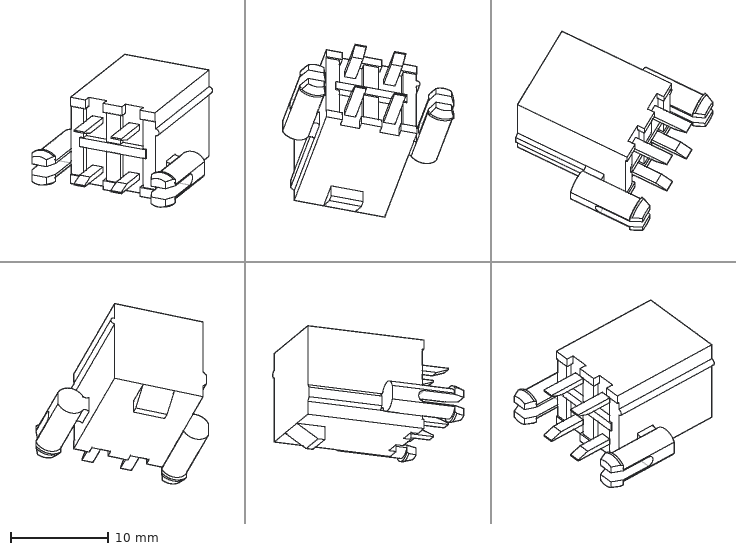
import cadquery as cq


BODY_WIDTH = 9.63
BODY_DEPTH = 12.8
BODY_HEIGHT = 9.6
HALF_WIDTH = BODY_WIDTH / 2

PAD_HEIGHT = 1.0
FACE_RECESS = 0.18
PITCH_X = 4.19
COLUMNS = (-PITCH_X / 2, PITCH_X / 2)
CHANNEL_DEPTH = 0.8
CHANNEL_WIDTH = 2.59
NOTCH_WIDTH = 2.03
BAR_WIDTH = 7.56
BAR_BOTTOM = 4.3
BAR_HEIGHT = 1.0

PIN_WIDTH = 1.2
PIN_THICKNESS = 0.62
PIN_TIP_THICKNESS = 0.15
PIN_TIP_Y = -3.5
PIN_TAPER_Y = -2.2
UPPER_PIN_TOP = 7.63
LOWER_PIN_BOTTOM = 1.53

LATCH_WIDTH = 3.4
LATCH_DROP = 1.4
LATCH_LENGTH = 3.07
LATCH_SLOPE_LENGTH = 2.33

PEG_Z = 2.3
PEG_AXIS_X = 6.79
PEG_OUTER_X = 8.19
PEG_INNER_X = 5.48
PEG_BACK_Y = 4.8
STEM_RADIUS = 1.58
HEAD_RADIUS = 1.89
HEAD_START_Y = -2.1
CONE_START_Y = -2.35
PEG_TIP_Y = -3.3
TIP_RADIUS = 1.58
TIP_HALF_WIDTH = 0.82
SLOT_WIDTH = 1.2
SLOT_END_Y = 1.9

NECK_FRONT_Y = 2.7
NECK_HALF_AT_PEG = 0.87
NECK_HALF_AT_WAIST = 0.76
NECK_HALF_AT_BODY = 0.92

KEY_PROTRUSION = 0.38
KEY_HEIGHT = 1.8
ROUND_RIB_RADIUS = 0.39
ROUND_RIB_Z = 7.36

OVERLAP = 0.3


def block(x_range, y_range, z_range):
    """Axis-aligned box given by its limits on each axis."""
    (x0, x1), (y0, y1), (z0, z1) = x_range, y_range, z_range
    return cq.Workplane("XY").box(x1 - x0, y1 - y0, z1 - z0, centered=False).translate((x0, y0, z0))


def centred(middle, width):
    """Limits of a span of the given width about a middle value."""
    return (middle - width / 2, middle + width / 2)


def along_y(y_start, y_end):
    """XZ sketch plane at y_start with the distance to extrude to reach y_end (> y_start)."""
    return cq.Workplane("XZ", origin=(0, y_start, 0)), -(y_end - y_start)


def housing():
    body = block((-HALF_WIDTH, HALF_WIDTH), (0, BODY_DEPTH), (0, BODY_HEIGHT))
    between_pads = (PAD_HEIGHT, BODY_HEIGHT - PAD_HEIGHT)
    body = body.cut(block((-HALF_WIDTH, HALF_WIDTH), (0, FACE_RECESS), between_pads))
    for x in COLUMNS:
        body = body.cut(block(centred(x, CHANNEL_WIDTH), (0, CHANNEL_DEPTH), between_pads))
        body = body.cut(block(centred(x, NOTCH_WIDTH), (0, CHANNEL_DEPTH), (0, BODY_HEIGHT)))
    bar = block(
        centred(0, BAR_WIDTH),
        (0, CHANNEL_DEPTH + OVERLAP),
        (BAR_BOTTOM, BAR_BOTTOM + BAR_HEIGHT),
    )
    return body.union(bar)


def pin(x, straight_z, tapered_z):
    """Pin with one straight face and an opposite face that tapers toward the tip."""
    direction = 1 if tapered_z > straight_z else -1
    root_y = CHANNEL_DEPTH + OVERLAP
    outline = [
        (root_y, straight_z),
        (PIN_TIP_Y, straight_z),
        (PIN_TIP_Y, straight_z + direction * PIN_TIP_THICKNESS),
        (PIN_TAPER_Y, tapered_z),
        (root_y, tapered_z),
    ]
    sketch = cq.Workplane("YZ", origin=(x, 0, 0)).polyline(outline).close()
    return sketch.extrude(PIN_WIDTH / 2, both=True)


def latch():
    outline = [
        (BODY_DEPTH, 0),
        (BODY_DEPTH - LATCH_SLOPE_LENGTH, -LATCH_DROP),
        (BODY_DEPTH - LATCH_LENGTH, -LATCH_DROP),
        (BODY_DEPTH - LATCH_LENGTH, OVERLAP),
        (BODY_DEPTH, OVERLAP),
    ]
    return cq.Workplane("YZ").polyline(outline).close().extrude(LATCH_WIDTH / 2, both=True)


def chamfered_rib():
    """Trapezoidal rib on the -X side, from the back of the housing to the peg neck."""
    side = -HALF_WIDTH
    half = KEY_HEIGHT / 2
    outline = [
        (side + OVERLAP, PEG_Z - half),
        (side, PEG_Z - half),
        (side - KEY_PROTRUSION, PEG_Z - half + KEY_PROTRUSION),
        (side - KEY_PROTRUSION, PEG_Z + half - KEY_PROTRUSION),
        (side, PEG_Z + half),
        (side + OVERLAP, PEG_Z + half),
    ]
    plane, length = along_y(PEG_BACK_Y, BODY_DEPTH)
    return plane.polyline(outline).close().extrude(length)


def round_rib():
    """Half-round rib on the +X side."""
    plane, length = along_y(FACE_RECESS, BODY_DEPTH)
    return plane.center(HALF_WIDTH, ROUND_RIB_Z).circle(ROUND_RIB_RADIUS).extrude(length)


def peg():
    """Split snap peg on the +X side: turned profile, flattened sides, tapered tip and a slot."""
    profile = [
        (PEG_AXIS_X, PEG_BACK_Y),
        (PEG_AXIS_X + STEM_RADIUS, PEG_BACK_Y),
        (PEG_AXIS_X + STEM_RADIUS, HEAD_START_Y),
        (PEG_AXIS_X + HEAD_RADIUS, HEAD_START_Y),
        (PEG_AXIS_X + HEAD_RADIUS, CONE_START_Y),
        (PEG_AXIS_X + TIP_RADIUS, PEG_TIP_Y),
        (PEG_AXIS_X, PEG_TIP_Y),
    ]
    turned = (
        cq.Workplane("XY")
        .polyline(profile)
        .close()
        .revolve(360, (PEG_AXIS_X, 0, 0), (PEG_AXIS_X, 1, 0))
    )
    plan = [
        (PEG_INNER_X, PEG_BACK_Y),
        (PEG_INNER_X, HEAD_START_Y),
        (PEG_AXIS_X - TIP_HALF_WIDTH, PEG_TIP_Y),
        (PEG_AXIS_X + TIP_HALF_WIDTH, PEG_TIP_Y),
        (PEG_OUTER_X, HEAD_START_Y),
        (PEG_OUTER_X, PEG_BACK_Y),
    ]
    envelope = cq.Workplane("XY").polyline(plan).close().extrude(HEAD_RADIUS, both=True)

    slot_radius = SLOT_WIDTH / 2
    slot_centre_y = SLOT_END_Y - slot_radius
    slot = (
        cq.Workplane("YZ")
        .moveTo(PEG_TIP_Y, -slot_radius)
        .lineTo(slot_centre_y, -slot_radius)
        .threePointArc((SLOT_END_Y, 0), (slot_centre_y, slot_radius))
        .lineTo(PEG_TIP_Y, slot_radius)
        .close()
        .extrude(PEG_OUTER_X)
    )
    return turned.intersect(envelope).cut(slot).translate((0, 0, PEG_Z))


def neck():
    """Waisted bridge between the +X side of the housing and its peg."""
    waist_x = (HALF_WIDTH + PEG_INNER_X) / 2
    plane, length = along_y(NECK_FRONT_Y, PEG_BACK_Y)
    return (
        plane.moveTo(HALF_WIDTH - OVERLAP, PEG_Z + NECK_HALF_AT_BODY)
        .lineTo(HALF_WIDTH, PEG_Z + NECK_HALF_AT_BODY)
        .threePointArc(
            (waist_x, PEG_Z + NECK_HALF_AT_WAIST),
            (PEG_INNER_X, PEG_Z + NECK_HALF_AT_PEG),
        )
        .lineTo(PEG_INNER_X + OVERLAP, PEG_Z + NECK_HALF_AT_PEG)
        .lineTo(PEG_INNER_X + OVERLAP, PEG_Z - NECK_HALF_AT_PEG)
        .lineTo(PEG_INNER_X, PEG_Z - NECK_HALF_AT_PEG)
        .threePointArc(
            (waist_x, PEG_Z - NECK_HALF_AT_WAIST),
            (HALF_WIDTH, PEG_Z - NECK_HALF_AT_BODY),
        )
        .lineTo(HALF_WIDTH - OVERLAP, PEG_Z - NECK_HALF_AT_BODY)
        .close()
        .extrude(length)
    )


result = housing().union(latch()).union(chamfered_rib()).union(round_rib())

for column_x in COLUMNS:
    result = result.union(pin(column_x, UPPER_PIN_TOP, UPPER_PIN_TOP - PIN_THICKNESS))
    result = result.union(pin(column_x, LOWER_PIN_BOTTOM, LOWER_PIN_BOTTOM + PIN_THICKNESS))

mounting_peg = peg().union(neck())
result = result.union(mounting_peg).union(mounting_peg.mirror("YZ"))